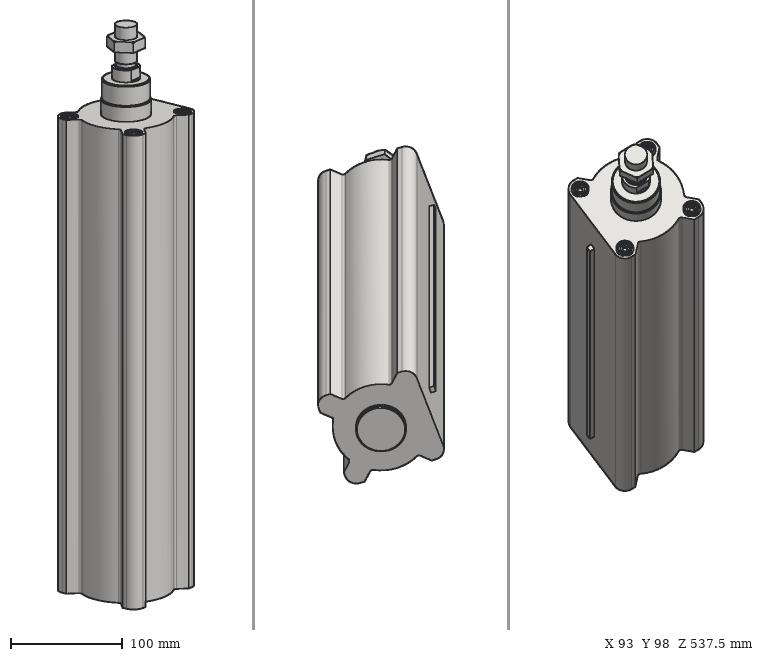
import cadquery as cq
import math

total_height = 537.5
body_bottom = 4.5
body_top = 452.5
shoulder_top = 467.5
nose_top = 486.5

body_width = 93.0
barrel_diameter = 86.5
bolt_spacing = 72.0
lug_flat = 4.5
half_width = body_width / 2
bolt_offset = bolt_spacing / 2
lug_radius = half_width - bolt_offset
root_fillet = 2.5
flat_end = bolt_offset - lug_flat

rail_width = 5.5
rail_height = 5.0
rail_chamfer = 0.5
rail_bottom = 48.0
rail_top = 409.5

collar_diameter = 45.0
nose_diameter = 43.5
collar_chamfer = 1.0

counterbore_diameter = 15.5
counterbore_depth = 4.5
head_diameter = 15.0
head_recess = 0.5
head_chamfer = 1.5
socket_mouth = 8.5
mouth_depth = 0.5
socket_flats = 5.0

rod_diameter = 25.0
rod_flats = 21.5
rod_neck_diameter = 18.0
thread_diameter = 20.0
rod_shoulder_top = 498.0
seat_top = 499.0
flats_bottom = 487.5
thread_bottom = 502.5

nut_flats = 30.0
nut_height = 10.0
nut_bottom = 515.5
nut_chamfer = 1.0


def cylinder(diameter, bottom, top):
    return cq.Workplane("XY").workplane(offset=bottom).circle(diameter / 2).extrude(top - bottom)


def body_block(width, depth, bottom, top):
    """Box centred on X that runs from the body axis toward +Y."""
    return (
        cq.Workplane("XY")
        .workplane(offset=bottom)
        .center(0, depth / 2)
        .rect(width, depth)
        .extrude(top - bottom)
    )


def corner_lug():
    """Diagonal rib that ends in a rounded corner around one bolt."""
    rib_start = half_width - flat_end
    arc_middle = bolt_offset + lug_radius / math.sqrt(2)
    return (
        cq.Workplane("XY")
        .workplane(offset=body_bottom)
        .moveTo(rib_start, 0)
        .lineTo(half_width, flat_end)
        .lineTo(half_width, bolt_offset)
        .threePointArc((arc_middle, arc_middle), (bolt_offset, half_width))
        .lineTo(flat_end, half_width)
        .lineTo(0, rib_start)
        .close()
        .extrude(body_top - body_bottom)
    )


def flat_side():
    """Block that closes the gap between the two +Y lugs."""
    return body_block(2 * flat_end, half_width, body_bottom, body_top)


def rail():
    """Raised bar along the middle of the flat +Y side."""
    bar = body_block(rail_width, half_width + rail_height, rail_bottom, rail_top)
    return bar.edges("|Z and >Y").chamfer(rail_chamfer)


def root_corners():
    """Selects the upright edges inside a square that just clears the sides of the barrel."""
    reach = barrel_diameter / 2 - root_fillet
    return cq.selectors.BoxSelector((-reach, -reach, 0), (reach, reach, total_height))


def make_body():
    body = cylinder(barrel_diameter, body_bottom, body_top)
    for quarter in range(4):
        body = body.union(corner_lug().rotate((0, 0, 0), (0, 0, 1), 90 * quarter))
    body = body.edges("|Z").edges(root_corners()).fillet(root_fillet)
    body = body.union(flat_side()).union(rail())
    spigot = cylinder(collar_diameter, 0, body_bottom).faces("<Z").chamfer(collar_chamfer)
    shoulder = cylinder(collar_diameter, body_top, shoulder_top).faces(">Z").chamfer(collar_chamfer)
    nose = cylinder(nose_diameter, shoulder_top, nose_top).faces(">Z").chamfer(collar_chamfer)
    body = body.union(spigot).union(shoulder).union(nose)
    for x in (-bolt_offset, bolt_offset):
        for y in (-bolt_offset, bolt_offset):
            body = body.cut(screw_recess().translate((x, y, 0)))
    return body


def screw_recess():
    """Space around and inside a socket-head screw sunk in the body top."""
    floor = body_top - counterbore_depth
    head = cylinder(head_diameter, floor, body_top - head_recess).faces(">Z").chamfer(head_chamfer)
    socket = (
        cq.Workplane("XY")
        .workplane(offset=floor)
        .polygon(6, socket_flats, circumscribed=True)
        .extrude(counterbore_depth)
    )
    mouth = cylinder(socket_mouth, body_top - head_recess - mouth_depth, body_top)
    return cylinder(counterbore_diameter, floor, body_top).cut(head).union(socket).union(mouth)


def make_rod():
    shank = cylinder(rod_diameter, nose_top, rod_shoulder_top)
    flats = (
        cq.Workplane("XY")
        .workplane(offset=flats_bottom)
        .rect(rod_flats, rod_diameter)
        .extrude(rod_shoulder_top - flats_bottom)
    )
    shank = shank.intersect(flats.union(cylinder(rod_diameter, nose_top, flats_bottom)))
    seat = cylinder(thread_diameter, rod_shoulder_top, seat_top)
    neck = cylinder(rod_neck_diameter, seat_top, thread_bottom)
    thread = cylinder(thread_diameter, thread_bottom, total_height)
    return shank.union(seat).union(neck).union(thread)


def make_nut():
    nut_top = nut_bottom + nut_height
    hexagon = (
        cq.Workplane("XY")
        .workplane(offset=nut_bottom)
        .polygon(6, nut_flats, circumscribed=True)
        .extrude(nut_height)
    )
    nut_corners = nut_flats / math.cos(math.radians(30))
    cone = cylinder(nut_corners, nut_bottom, nut_top).faces(">Z").chamfer(nut_chamfer)
    return hexagon.intersect(cone).cut(cylinder(thread_diameter, nut_bottom, nut_top))


body = make_body()
rod = make_rod()
nut = make_nut()
result = cq.Compound.makeCompound([body.val(), rod.val(), nut.val()])